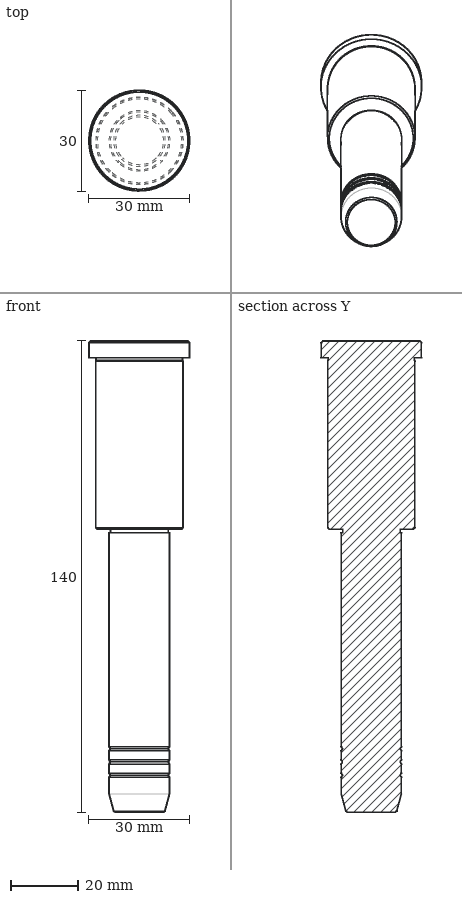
import cadquery as cq
import math

total_length = 140.0
head_diameter = 30.0
head_height = 5.0
head_chamfer = 0.5
sleeve_diameter = 26.0
sleeve_bottom_from_top = 56.0
sleeve_chamfer = 0.5
pin_diameter = 18.0

relief_width = 1.0
sleeve_relief_depth = 0.1
sleeve_relief_slope = 0.3
pin_relief_depth = 0.4

groove_count = 3
groove_pitch = 3.9
groove_width = 1.3
groove_depth = 0.4
lowest_groove_height = 11.0

tip_height = 5.6
tip_angle = 15.0
tip_chamfer = 0.4

top_z = total_length / 2
bottom_z = -total_length / 2
head_bottom_z = top_z - head_height
sleeve_bottom_z = top_z - sleeve_bottom_from_top
pin_radius = pin_diameter / 2
tip_radius = pin_radius - tip_height * math.tan(math.radians(tip_angle))


def cylinder(diameter, low_z, high_z):
    return cq.Workplane("XY").workplane(offset=low_z).circle(diameter / 2).extrude(high_z - low_z)


def vee_groove(diameter, depth, center_z, width):
    """Ring of V-shaped section cut into a cylinder, `width` wide at the surface."""
    radius = diameter / 2
    profile = (
        cq.Workplane("XZ")
        .moveTo(radius, center_z - width / 2)
        .lineTo(radius - depth, center_z)
        .lineTo(radius, center_z + width / 2)
        .lineTo(radius + depth, center_z + width / 2)
        .lineTo(radius + depth, center_z - width / 2)
        .close()
    )
    return profile.revolve(360, (0, 0, 0), (0, 1, 0))


def shoulder_relief(diameter, depth, shoulder_z, wall_slope):
    """Undercut directly below a shoulder, whose lower wall rises by `wall_slope`."""
    radius = diameter / 2
    low_z = shoulder_z - relief_width
    profile = (
        cq.Workplane("XZ")
        .moveTo(radius, low_z)
        .lineTo(radius - depth, low_z + wall_slope)
        .lineTo(radius - depth, shoulder_z)
        .lineTo(radius + depth, shoulder_z)
        .lineTo(radius + depth, low_z)
        .close()
    )
    return profile.revolve(360, (0, 0, 0), (0, 1, 0))


def tapered_tip():
    profile = (
        cq.Workplane("XZ")
        .moveTo(0, bottom_z)
        .lineTo(tip_radius, bottom_z)
        .lineTo(pin_radius, bottom_z + tip_height)
        .lineTo(0, bottom_z + tip_height)
        .close()
    )
    tip = profile.revolve(360, (0, 0, 0), (0, 1, 0))
    return tip.faces("<Z").chamfer(tip_chamfer)


pin = cylinder(pin_diameter, bottom_z + tip_height, sleeve_bottom_z)
pin = pin.cut(shoulder_relief(pin_diameter, pin_relief_depth, sleeve_bottom_z, 0))
pin = pin.union(tapered_tip())

for index in range(groove_count):
    groove_center_z = bottom_z + lowest_groove_height + index * groove_pitch
    pin = pin.cut(vee_groove(pin_diameter, groove_depth, groove_center_z, groove_width))

sleeve = cylinder(sleeve_diameter, sleeve_bottom_z, head_bottom_z).faces("<Z").chamfer(sleeve_chamfer)
sleeve = sleeve.cut(shoulder_relief(sleeve_diameter, sleeve_relief_depth, head_bottom_z, sleeve_relief_slope))

head = cylinder(head_diameter, head_bottom_z, top_z).faces(">Z").chamfer(head_chamfer)

result = head.union(sleeve).union(pin)